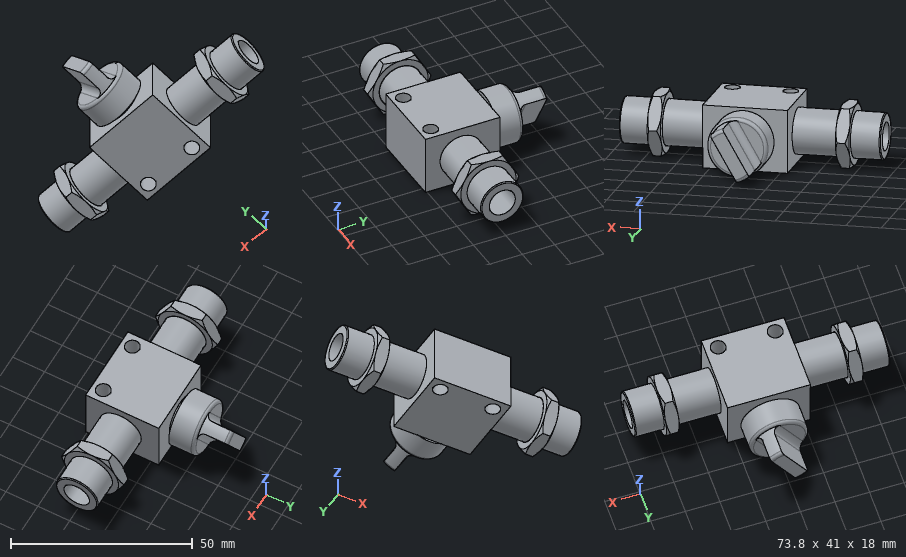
import cadquery as cq
import math


overall_length = 73.8
block_length = 24.0
block_height = 18.0
block_front_y = -11.0
block_back_y = 12.0
plain_diameter = 13.0
thread_diameter = 13.157
tube_end_chamfer = 0.3
bore_diameter = 8.0
mount_hole_diameter = 4.3
mount_hole_spacing = 16.5
mount_hole_y = -7.5

nut_across_flats = 17.0
nut_thickness = 3.8
nut_center_x = 26.6
nut_chamfer_angle = 30.0

stem_diameter = 12.0
stem_gap = 1.2
collar_diameter = 17.0
collar_height = 8.0
collar_fillet = 1.0
blade_height = 8.8
blade_radius = 7.8
blade_thickness = 4.0
blade_root_fillet = 2.0
blade_tip_fillet = 1.0
blade_tilt = 30.0

tube_length = (overall_length - block_length) / 2
nut_across_corners = nut_across_flats / math.cos(math.radians(30))
collar_base_y = block_back_y + stem_gap
collar_top_y = collar_base_y + collar_height
knob_tip_y = collar_top_y + blade_height
blade_base_y = collar_top_y - collar_fillet


def make_valve_body():
    block = cq.Workplane("XY").box(
        block_length, block_back_y - block_front_y, block_height
    ).translate((0, (block_front_y + block_back_y) / 2, 0))

    threads = (
        cq.Workplane("YZ")
        .circle(thread_diameter / 2)
        .extrude(overall_length / 2, both=True)
        .faces("<X or >X")
        .chamfer(tube_end_chamfer)
    )
    relief = (
        cq.Workplane("YZ")
        .circle(thread_diameter)
        .circle(plain_diameter / 2)
        .extrude(nut_center_x - nut_thickness / 2, both=True)
    )
    body = block.union(threads.cut(relief))

    for side in (-1, 1):
        bore = (
            cq.Workplane("YZ", origin=(side * block_length / 2, 0, 0))
            .circle(bore_diameter / 2)
            .extrude(side * tube_length)
        )
        body = body.cut(bore)

    mount_holes = (
        cq.Workplane("XY")
        .pushPoints([(side * mount_hole_spacing / 2, mount_hole_y) for side in (-1, 1)])
        .circle(mount_hole_diameter / 2)
        .extrude(block_height, both=True)
    )
    return body.cut(mount_holes)


def make_nut(center_x):
    half_thickness = nut_thickness / 2
    face_radius = nut_across_flats / 2
    corner_radius = nut_across_corners / 2
    corner_drop = (corner_radius - face_radius) * math.tan(math.radians(nut_chamfer_angle))

    hexagon = (
        cq.Workplane("YZ")
        .polygon(6, nut_across_corners)
        .circle(thread_diameter / 2)
        .extrude(half_thickness, both=True)
    )
    envelope = (
        cq.Workplane("XY")
        .moveTo(-half_thickness, 0)
        .lineTo(-half_thickness, face_radius)
        .lineTo(-half_thickness + corner_drop, corner_radius)
        .lineTo(half_thickness - corner_drop, corner_radius)
        .lineTo(half_thickness, face_radius)
        .lineTo(half_thickness, 0)
        .close()
        .revolve(360, (0, 0, 0), (1, 0, 0))
    )
    return hexagon.intersect(envelope).translate((center_x, 0, 0))


def make_blade():
    half_thickness = blade_thickness / 2
    root_half_width = half_thickness + blade_root_fillet
    fillet_top_y = collar_top_y + blade_root_fillet
    fillet_mid = blade_root_fillet * (1 - math.sin(math.radians(45)))

    slab = (
        cq.Workplane("XY")
        .moveTo(-root_half_width, blade_base_y)
        .lineTo(-root_half_width, collar_top_y)
        .threePointArc(
            (-half_thickness - fillet_mid, collar_top_y + fillet_mid),
            (-half_thickness, fillet_top_y),
        )
        .lineTo(-half_thickness, knob_tip_y)
        .lineTo(half_thickness, knob_tip_y)
        .lineTo(half_thickness, fillet_top_y)
        .threePointArc(
            (half_thickness + fillet_mid, collar_top_y + fillet_mid),
            (root_half_width, collar_top_y),
        )
        .lineTo(root_half_width, blade_base_y)
        .close()
        .extrude(collar_diameter, both=True)
    )
    envelope = (
        cq.Workplane("XZ", origin=(0, blade_base_y, 0))
        .circle(blade_radius)
        .extrude(-(knob_tip_y - blade_base_y))
        .faces(">Y")
        .edges()
        .fillet(blade_tip_fillet)
    )
    return slab.intersect(envelope).rotate((0, 0, 0), (0, 1, 0), blade_tilt)


def make_knob():
    stem = (
        cq.Workplane("XZ", origin=(0, block_back_y, 0))
        .circle(stem_diameter / 2)
        .extrude(-stem_gap)
    )
    collar = (
        cq.Workplane("XZ", origin=(0, collar_base_y, 0))
        .circle(collar_diameter / 2)
        .extrude(-collar_height)
        .faces(">Y")
        .fillet(collar_fillet)
    )
    return stem.union(collar).union(make_blade())


valve_body = make_valve_body()
nuts = [make_nut(side * nut_center_x) for side in (-1, 1)]
knob = make_knob()

result = cq.Compound.makeCompound([valve_body.val(), *[nut.val() for nut in nuts], knob.val()])